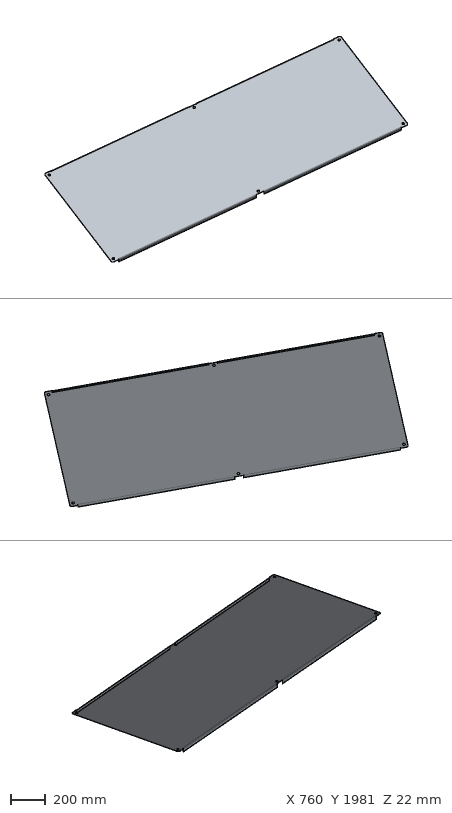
import cadquery as cq

length = 1981.0
width = 760.0
height = 22.0
thickness = 2.0
bend_radius = 5.0

corner_tab_length = 45.0
middle_gap = 52.0
corner_radius = 12.0

hole_diameter = 12.7
hole_side_inset = 22.0
hole_end_inset = 22.0

flat_width = width - 2 * bend_radius
flange_length = length / 2 - corner_tab_length - middle_gap / 2
flange_start = middle_gap / 2
sheet_bottom = height - thickness
inner_bend_radius = bend_radius - thickness
bend_center_z = height - bend_radius


def make_sheet():
    """Flat panel with rounded corners, narrowed to the bend lines between its corner tabs."""
    sheet = (
        cq.Workplane("XY")
        .workplane(offset=sheet_bottom)
        .rect(width, length)
        .extrude(thickness)
        .edges("|Z")
        .fillet(corner_radius)
    )
    narrowing_length = length - 2 * corner_tab_length
    side_strips = (
        cq.Workplane("XY")
        .workplane(offset=sheet_bottom)
        .pushPoints([(side * (flat_width + bend_radius) / 2, 0) for side in (-1, 1)])
        .rect(bend_radius, narrowing_length)
        .extrude(thickness)
    )
    return sheet.cut(side_strips)


def make_flange(start_y):
    """Bent flange on the +X side, running along +Y from start_y."""
    bend_x = flat_width / 2
    diagonal = 0.5 ** 0.5
    outer_mid = (bend_x + bend_radius * diagonal, bend_center_z + bend_radius * diagonal)
    inner_mid = (bend_x + inner_bend_radius * diagonal, bend_center_z + inner_bend_radius * diagonal)
    return (
        cq.Workplane("XZ", origin=(0, start_y, 0))
        .moveTo(bend_x, height)
        .threePointArc(outer_mid, (width / 2, bend_center_z))
        .lineTo(width / 2, 0)
        .lineTo(width / 2 - thickness, 0)
        .lineTo(width / 2 - thickness, bend_center_z)
        .threePointArc(inner_mid, (bend_x, sheet_bottom))
        .close()
        .extrude(-flange_length)
    )


def make_hole_cutter():
    """Three fixing holes along each long side."""
    hole_x = width / 2 - hole_side_inset
    hole_y = length / 2 - hole_end_inset
    places = [(x, y) for x in (-hole_x, hole_x) for y in (-hole_y, 0, hole_y)]
    return cq.Workplane("XY").pushPoints(places).circle(hole_diameter / 2).extrude(height)


result = make_sheet()
for start_y in (flange_start, -flange_start - flange_length):
    flange = make_flange(start_y)
    result = result.union(flange).union(flange.mirror("YZ"))
result = result.cut(make_hole_cutter())